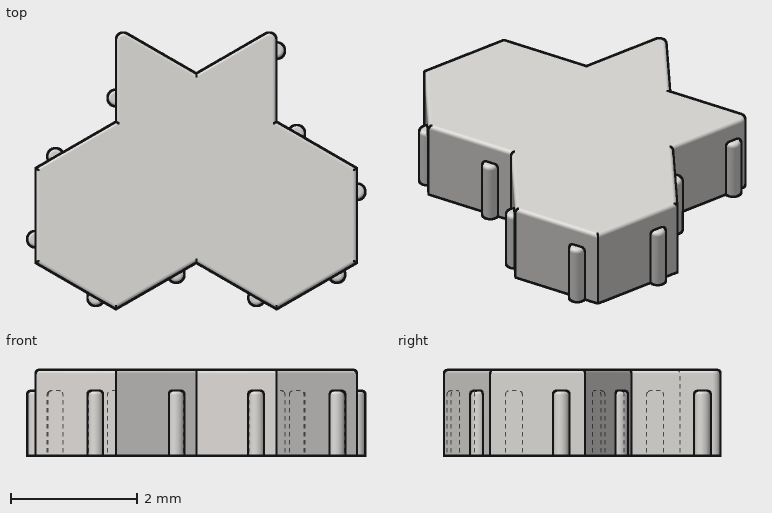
import cadquery as cq
import math

overall_width = 5.37
height = 1.37
peg_radius = 0.135
peg_height = 1.035
peg_top_round = 0.065
peg_position = 0.75
upright_side = 1.505
tip_radius = 0.12
top_round = 0.065

half_width = overall_width / 2 - peg_radius
step_x = half_width / 2
step_y = step_x * math.tan(math.radians(30))
shoulder_y = upright_side + step_y
tip_y = shoulder_y + upright_side

left_tip = (-step_x, tip_y)
right_tip = (step_x, tip_y)
corners = [
    left_tip,
    (-step_x, shoulder_y),
    (-half_width, upright_side),
    (-half_width, 0),
    (-step_x, -step_y),
    (0, 0),
    (step_x, -step_y),
    (half_width, 0),
    (half_width, upright_side),
    (step_x, shoulder_y),
    right_tip,
    (0, tip_y - step_y),
]


def make_body():
    """Paving block with rounded tips and a rounded upper rim."""
    block = cq.Workplane("XY").polyline(corners).close().extrude(height)
    for x, y in (left_tip, right_tip):
        tip_edge = cq.selectors.NearestToPointSelector((x, y, height / 2))
        block = block.edges(tip_edge).fillet(tip_radius)
    return block.faces(">Z").edges().fillet(top_round)


def peg_centres():
    """One point on every side except the two sides of the top notch."""
    peg_sides = zip(corners[:-2], corners[1:-1])
    return [
        (x0 + peg_position * (x1 - x0), y0 + peg_position * (y1 - y0))
        for (x0, y0), (x1, y1) in peg_sides
    ]


def make_pegs():
    """Round-topped spacer pegs standing half outside the block."""
    pegs = cq.Workplane("XY").pushPoints(peg_centres()).circle(peg_radius).extrude(peg_height)
    return pegs.faces(">Z").edges().fillet(peg_top_round)


result = make_body().union(make_pegs())